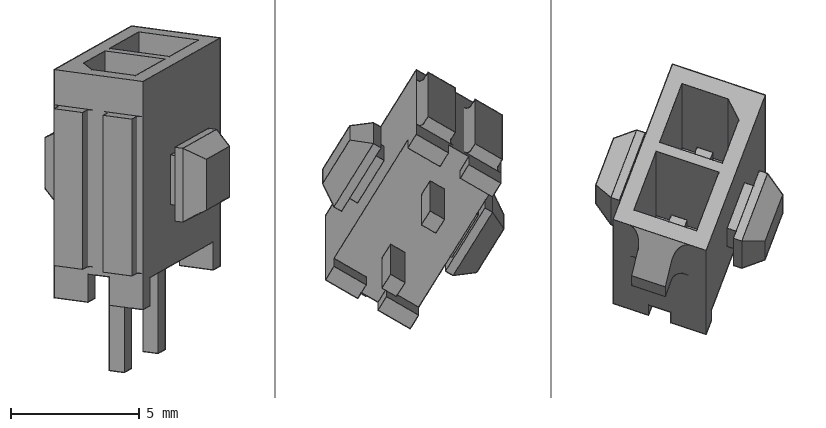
import cadquery as cq

TOTAL_HEIGHT = 12.42
TOTAL_WIDTH = 7.0
PIN_PITCH = 2.99
PIN_SIZE = 0.66
PIN_TOP = 8.7

BODY_WIDTH = 3.85
BODY_DEPTH = 6.88
BODY_BOTTOM = 3.17
LEG_HEIGHT = 1.14
LEG_THICKNESS = 0.65
LEG_GAP = 0.92
POCKET_SIZE = 2.6
POCKET_FLOOR = 5.34
POCKET_CHAMFER = 0.68

BUTTON_Z = 7.81
BUTTON_SIZE = 2.99
BUTTON_TIP_SIZE = 2.06
STEM_SIZE = 2.01
STEM_LENGTH = 0.43
FLANGE_THICKNESS = 0.35

RIB_DEPTH = 0.5
RIB_WIDTH = 1.24
RIB_SPACING = 2.14
RIB_DROP = 1.43
RIB_HEIGHT = 6.36
RIB_FILLET = 0.19

HOOK_LENGTH = 1.29
HOOK_WIDTH = 1.39
HOOK_FILLET = 0.58
HOOK_TIP_TOP = 1.89
HOOK_TIP_BOTTOM = 2.95
HOOK_UNDERSIDE = 2.88

OVERLAP = 0.12

half_width = BODY_WIDTH / 2
half_depth = BODY_DEPTH / 2
pin_positions = [(0, -PIN_PITCH / 2), (0, PIN_PITCH / 2)]
floor_z = BODY_BOTTOM + LEG_HEIGHT


def block(width, depth, bottom, top):
    """Box centred on the Z axis between two heights."""
    return cq.Workplane("XY", origin=(0, 0, bottom)).rect(width, depth).extrude(top - bottom)


def make_housing():
    """Shell with four corner legs and two pockets, one with a keyed corner."""
    housing = block(BODY_WIDTH, BODY_DEPTH, BODY_BOTTOM, TOTAL_HEIGHT)
    housing = housing.cut(block(BODY_WIDTH, BODY_DEPTH - 2 * LEG_THICKNESS, BODY_BOTTOM, floor_z))
    housing = housing.cut(block(LEG_GAP, BODY_DEPTH, BODY_BOTTOM, floor_z))
    pocket = block(POCKET_SIZE, POCKET_SIZE, POCKET_FLOOR, TOTAL_HEIGHT)
    keyed_pocket = pocket.edges("|Z and <X and <Y").chamfer(POCKET_CHAMFER)
    for shape, position in zip((keyed_pocket, pocket), pin_positions):
        housing = housing.cut(shape.translate(position + (0,)))
    return housing


def make_button():
    """Stem, square flange and tapered tip on the +X side."""
    flange_x = half_width + STEM_LENGTH
    taper_x = flange_x + FLANGE_THICKNESS
    tip_x = TOTAL_WIDTH / 2

    def side_plane(x):
        return cq.Workplane("YZ", origin=(x, 0, BUTTON_Z))

    stem = side_plane(half_width - OVERLAP).rect(STEM_SIZE, STEM_SIZE).extrude(STEM_LENGTH + OVERLAP)
    flange = side_plane(flange_x).rect(BUTTON_SIZE, BUTTON_SIZE).extrude(FLANGE_THICKNESS)
    tip = (
        side_plane(taper_x)
        .rect(BUTTON_SIZE, BUTTON_SIZE)
        .workplane(offset=tip_x - taper_x)
        .rect(BUTTON_TIP_SIZE, BUTTON_TIP_SIZE)
        .loft(ruled=True)
    )
    return stem.union(flange).union(tip)


def flared_plan(width, length, radius, bottom, height):
    """Tab projecting along +Y from the XZ plane, with concave fillets at its root."""
    half = width / 2
    foot = half + radius
    return (
        cq.Workplane("XY", origin=(0, 0, bottom))
        .moveTo(-foot, -OVERLAP)
        .lineTo(-foot, 0)
        .radiusArc((-half, radius), -radius)
        .lineTo(-half, length)
        .lineTo(half, length)
        .lineTo(half, radius)
        .radiusArc((foot, 0), -radius)
        .lineTo(foot, -OVERLAP)
        .close()
        .extrude(height)
    )


def make_rib(x):
    """Vertical rib on the -Y face."""
    bottom = TOTAL_HEIGHT - RIB_DROP - RIB_HEIGHT
    rib = flared_plan(RIB_WIDTH, RIB_DEPTH, RIB_FILLET, bottom, RIB_HEIGHT)
    return rib.rotate((0, 0, 0), (0, 0, 1), 180).translate((x, -half_depth, 0))


def make_hook():
    """Latch hook on the +Y face, sloped above and filleted below."""
    root_z = TOTAL_HEIGHT - HOOK_UNDERSIDE - HOOK_FILLET
    plan = flared_plan(HOOK_WIDTH, HOOK_LENGTH, HOOK_FILLET, root_z, TOTAL_HEIGHT - root_z)
    profile = (
        cq.Workplane("YZ")
        .moveTo(-OVERLAP, TOTAL_HEIGHT)
        .lineTo(0, TOTAL_HEIGHT)
        .lineTo(HOOK_LENGTH, TOTAL_HEIGHT - HOOK_TIP_TOP)
        .lineTo(HOOK_LENGTH, TOTAL_HEIGHT - HOOK_TIP_BOTTOM)
        .lineTo(HOOK_FILLET, TOTAL_HEIGHT - HOOK_UNDERSIDE)
        .radiusArc((0, root_z), -HOOK_FILLET)
        .lineTo(-OVERLAP, root_z)
        .close()
        .extrude(half_width, both=True)
    )
    return plan.intersect(profile).translate((0, half_depth, 0))


result = make_housing()

button = make_button()
result = result.union(button).union(button.mirror("YZ"))

for rib_x in (-RIB_SPACING / 2, RIB_SPACING / 2):
    result = result.union(make_rib(rib_x))

result = result.union(make_hook())

for pin_x, pin_y in pin_positions:
    pin = block(PIN_SIZE, PIN_SIZE, 0, PIN_TOP).translate((pin_x, pin_y, 0))
    result = result.union(pin)